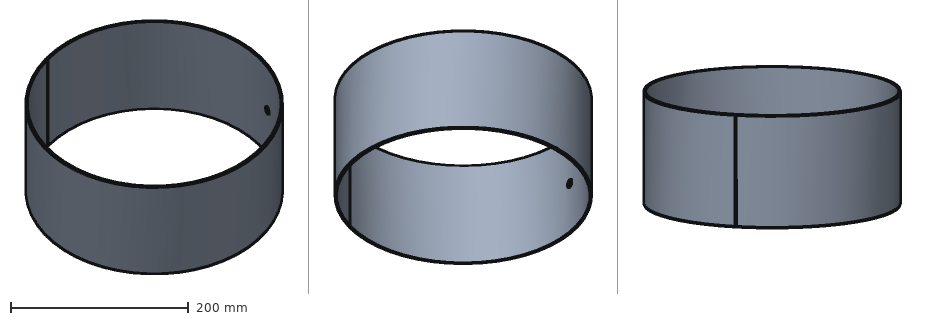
import math

import cadquery as cq

outer_diameter = 290.0
wall_thickness = 2.5
height = 130.0
outer_bevel_height = 1.8
outer_bevel_angle = 20.0
inner_bevel = 0.8
slit_angle = 1.0
hole_diameter = 10.0
hole_angle = 59.0

outer_radius = outer_diameter / 2
inner_radius = outer_radius - wall_thickness
mid_wall_radius = outer_radius - wall_thickness / 2
half_height = height / 2
outer_bevel_width = outer_bevel_height * math.tan(math.radians(outer_bevel_angle))
outer_bevel_start = half_height - outer_bevel_height
inner_bevel_start = half_height - inner_bevel
rim_outer_radius = outer_radius - outer_bevel_width
rim_inner_radius = inner_radius + inner_bevel
hole_cutter_length = 4 * wall_thickness


def make_split_ring():
    """Bevelled wall section swept around Z from the -X axis, stopping short of a full turn."""
    section = [
        (-outer_radius, -outer_bevel_start),
        (-outer_radius, outer_bevel_start),
        (-rim_outer_radius, half_height),
        (-rim_inner_radius, half_height),
        (-inner_radius, inner_bevel_start),
        (-inner_radius, -inner_bevel_start),
        (-rim_inner_radius, -half_height),
        (-rim_outer_radius, -half_height),
    ]
    return (
        cq.Workplane("XZ")
        .polyline(section)
        .close()
        .revolve(360 - slit_angle, (0, 0, 0), (0, 1, 0))
    )


def make_hole_cutter():
    """Radial cylinder crossing the wall at mid-height."""
    return (
        cq.Workplane("YZ")
        .workplane(offset=mid_wall_radius - hole_cutter_length / 2)
        .circle(hole_diameter / 2)
        .extrude(hole_cutter_length)
        .rotate((0, 0, 0), (0, 0, 1), hole_angle)
    )


result = make_split_ring().cut(make_hole_cutter())